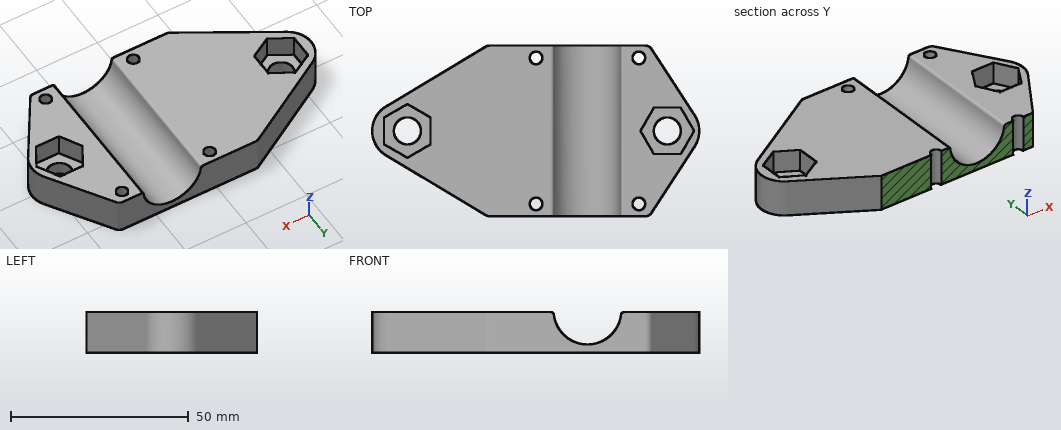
import cadquery as cq
import math

length = 92.0
width = 48.0
thickness = 11.5
left_shoulder_x = 32.5
right_shoulder_x = 77.9
end_radius = 8.0
shoulder_radius = 2.0

saddle_x = 60.5
saddle_radius = 9.5
saddle_floor = 2.4
saddle_lip_radius = 0.9

bolt_diameter = 7.5
bolt_inset_left = 9.9
bolt_inset_right = 9.0
nut_across_flats = 13.1
nut_depth = 7.0

clamp_diameter = 3.5
clamp_spacing_x = 28.9
clamp_spacing_y = 41.0


def apex_offset(shoulder_run):
    """Distance from an end arc's centre to the point where its two tangent sides meet.

    shoulder_run is the X distance from the arc centre inward to the shoulder.
    """
    half_width = width / 2
    reach = math.hypot(shoulder_run, half_width)
    side_angle = math.acos(end_radius / reach) - math.atan2(shoulder_run, half_width)
    return end_radius / math.sin(side_angle)


def plate():
    left_centre = end_radius
    right_centre = length - end_radius
    left_apex = left_centre - apex_offset(left_shoulder_x - left_centre)
    right_apex = right_centre + apex_offset(right_centre - right_shoulder_x)
    outline = [
        (left_apex, 0),
        (left_shoulder_x, -width / 2),
        (right_shoulder_x, -width / 2),
        (right_apex, 0),
        (right_shoulder_x, width / 2),
        (left_shoulder_x, width / 2),
    ]
    body = cq.Workplane("XY").polyline(outline).close().extrude(thickness)
    body = body.edges("|Z and (<X or >X)").fillet(end_radius)
    for side in (">Y", "<Y"):
        body = body.faces(side).edges("|Z").fillet(shoulder_radius)
    return body


def cut_saddle(body):
    axis_z = saddle_floor + saddle_radius
    cutter = (
        cq.Workplane("XZ")
        .center(saddle_x, axis_z)
        .circle(saddle_radius)
        .extrude(width / 2, both=True)
    )
    body = body.cut(cutter)
    rim_half_width = math.sqrt(saddle_radius**2 - (axis_z - thickness) ** 2)
    for rim_x in (saddle_x - rim_half_width, saddle_x + rim_half_width):
        rim = cq.selectors.NearestToPointSelector((rim_x, 0, thickness))
        body = body.edges(rim).fillet(saddle_lip_radius)
    return body


def nut_and_bolt_cutter(x, hexagon_rotation):
    """Through hole with a nut pocket; at zero rotation two pocket corners lie along X."""
    bolt = cq.Workplane("XY").center(x, 0).circle(bolt_diameter / 2).extrude(thickness)
    across_corners = nut_across_flats / math.cos(math.pi / 6)
    pocket = (
        cq.Workplane("XY", origin=(x, 0, thickness - nut_depth))
        .transformed(rotate=(0, 0, hexagon_rotation))
        .polygon(6, across_corners)
        .extrude(nut_depth)
    )
    return bolt.union(pocket)


def clamp_holes():
    return (
        cq.Workplane("XY")
        .center(saddle_x, 0)
        .rect(clamp_spacing_x, clamp_spacing_y, forConstruction=True)
        .vertices()
        .circle(clamp_diameter / 2)
        .extrude(thickness)
    )


result = (
    cut_saddle(plate())
    .cut(nut_and_bolt_cutter(bolt_inset_left, 30))
    .cut(nut_and_bolt_cutter(length - bolt_inset_right, 0))
    .cut(clamp_holes())
)